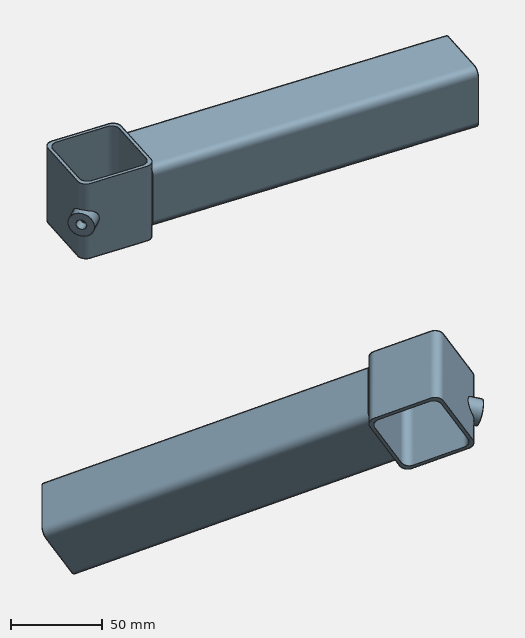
import cadquery as cq
import math

sleeve_width = 45.0
sleeve_height = 50.0
sleeve_wall = 2.0
corner_radius = 5.0

arm_width = 40.0
total_length = 251.3

boss_diameter = 15.0
boss_overhang = 6.3
boss_hole_diameter = 6.0

half_width = sleeve_width / 2
bore_width = sleeve_width - 2 * sleeve_wall
arm_length = total_length - sleeve_width - boss_overhang
boss_reach = math.sqrt(2) * (half_width + boss_overhang) - boss_diameter / 2


def rounded_block(width, height):
    """Upright square block with rounded vertical edges, centred on the origin."""
    return cq.Workplane("XY").box(width, width, height).edges("|Z").fillet(corner_radius)


def diagonal_cylinder(diameter):
    """Cylinder from the sleeve axis out through the +X, -Y corner."""
    diagonal_plane = cq.Plane(origin=(0, 0, 0), xDir=(0, 0, 1), normal=(1, -1, 0))
    return cq.Workplane(diagonal_plane).circle(diameter / 2).extrude(boss_reach)


def make_arm():
    """Solid arm with rounded long edges, starting at the sleeve's +Y face."""
    arm = cq.Workplane("XY").box(arm_width, arm_length, arm_width)
    arm = arm.edges("|Y").fillet(corner_radius)
    return arm.translate((0, half_width + arm_length / 2, 0))


sleeve = rounded_block(sleeve_width, sleeve_height)
bore = rounded_block(bore_width, sleeve_height)

body = sleeve.union(make_arm()).union(diagonal_cylinder(boss_diameter))
result = body.cut(bore).cut(diagonal_cylinder(boss_hole_diameter))